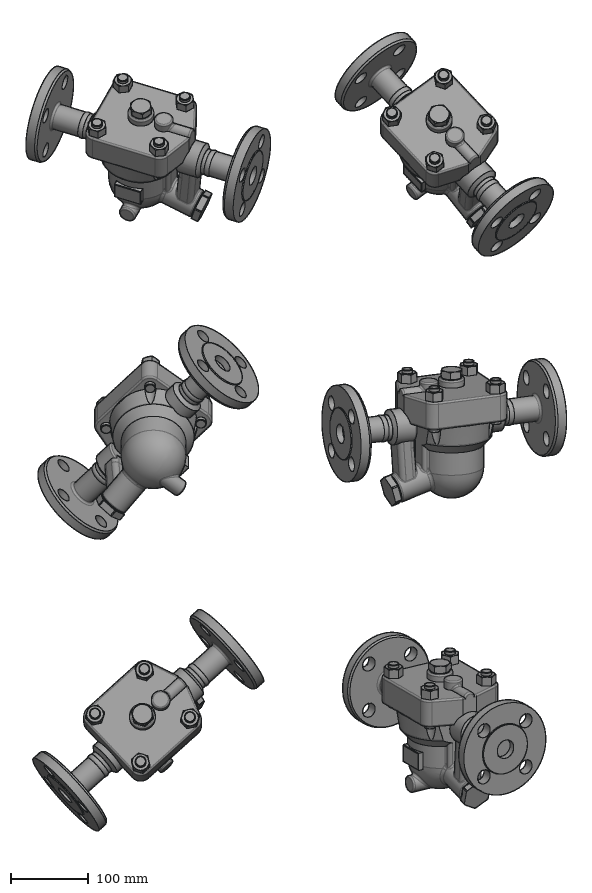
import cadquery as cq
import math


surface_tolerance = 0.003

face_to_face = 291.0
mid_x = 10.2
flange_diameter = 125.0
flange_thickness = 15.0
flange_chamfer_length = 3.0
flange_chamfer_depth = 1.7
raised_face_diameter = 67.0
raised_face_base_diameter = 68.5
raised_face_height = 1.5
bore_diameter = 25.0
bore_depth = 8.7
bolt_hole_diameter = 19.0
bolt_circle_diameter = 90.2
bolt_hole_count = 4
pipe_diameter = 33.2
pipe_root_radius = 3.0
bead_length = 6.7
bead_height = 1.0
bead_gap = 5.0
hub_diameter = 46.0
hub_cone_length = 4.0
hub_cone_diameter = 34.3
hub_shoulder = 75.5
outlet_hub_start = 57.5
outlet_hub_rounding = 2.0
inlet_hub_start = -29.0

plate_top = 44.2
plate_bottom = 7.3
joint_z = 26.8
plate_left = -57.3
plate_half_width = 57.5
plate_shoulder = 53.5
plate_tip = 71.0
plate_tip_half_width = 10.2
plate_corner_radius = 14.3
plate_edge_rounding = 2.3

stud_offset = 43.0
stud_places = [(x, y) for x in (-stud_offset, stud_offset) for y in (-stud_offset, stud_offset)]
stud_diameter = 14.0
stud_bottom = 1.5
stud_top = 61.0
stud_chamfer = 1.0
nut_across_flats = 21.5
nut_height = 12.2
hex_chamfer_angle = 30.0
stud_clearance_diameter = 17.8

boss_x = 31.7
boss_diameter = 24.0
boss_top = 56.2
boss_rounding = 2.0
duct_radius = 8.5
duct_axis_z = 41.3
duct_root_radius = 2.3

plug_diameter = 33.2
plug_bottom = 46.9
plug_collar_height = 9.3
plug_rounding = 2.0
plug_hex_across_flats = 25.3
plug_hex_height = 10.2
plug_neck_height = 1.0

vessel_radius = 41.5
dome_center_z = -62.3
rim_radius = 56.5
belt_radius = 52.0
belt_top = -19.0
belt_bottom = -20.5
cone_bottom = -32.3
vessel_flat_x = 46.0
rib_half_width = 15.0
rib_corner_radius = 4.7
rib_root_radius = 3.0

branch_angle = 15.0
branch_diameter = 38.0
branch_length = 81.2
branch_rounding = 1.7
branch_root_radius = 5.2
cap_neck_diameter = 34.3
cap_neck_length = 1.5
cap_hex_across_flats = 36.5
cap_hex_corner_diameter = 41.0
cap_hex_thickness = 9.3

riser_half_width = 16.0
riser_corner_radius = 6.7
riser_root_radius = 1.7
riser_top_z = -11.5
riser_left = 57.0
riser_right = 81.2
riser_bend_z = -26.2
riser_bottom_z = -75.7
riser_bottom_left = 53.0
riser_bottom_right = 76.8

pad_width = 36.5
pad_height = 23.5
pad_center_z = -54.5
pad_face_y = -44.8
pad_chamfer = 1.0
drain_diameter = 22.0
drain_z = -90.8
drain_face_y = -46.5
drain_rounding = 2.0
drain_root_radius = 3.0


def vertical_cylinder(diameter, z_bottom, z_top, x=0.0, y=0.0):
    return cq.Workplane("XY", origin=(x, y, z_bottom)).circle(diameter / 2).extrude(z_top - z_bottom)


def union_with_root(base, addition, root_radius, is_root=lambda edge: True):
    """Union of two shapes with a fillet along the edges where their surfaces meet."""
    joined = base.union(addition)
    skins = [shape.val().Shells()[0] for shape in (base, addition)]
    roots = []
    for edge in joined.edges().vals():
        middle = cq.Vertex.makeVertex(*edge.positionAt(0.5).toTuple())
        on_both = all(skin.distance(middle) < surface_tolerance for skin in skins)
        if on_both and is_root(edge):
            roots.append(edge)
    return joined.newObject(roots).fillet(root_radius)


def chamfered_hexagon(across_flats, height, both_ends):
    """Hexagon on Z = 0, corners on X, with its corners turned off by flat cones."""
    corner_radius = across_flats / math.sqrt(3)
    flat_radius = across_flats / 2
    drop = (corner_radius - flat_radius) * math.tan(math.radians(hex_chamfer_angle))
    turned = cq.Workplane("XZ").moveTo(0, 0)
    if both_ends:
        turned = turned.lineTo(flat_radius, 0).lineTo(corner_radius, drop)
    else:
        turned = turned.lineTo(corner_radius, 0)
    turned = turned.lineTo(corner_radius, height - drop).lineTo(flat_radius, height).lineTo(0, height)
    turned = turned.close().revolve(360, (0, 0, 0), (0, 1, 0))
    return cq.Workplane("XY").polygon(6, 2 * corner_radius).extrude(height).intersect(turned)


def pipe_end(hub_start):
    """Flanged pipe end along +X from the middle plane; hub_start is measured from that plane."""
    face = face_to_face / 2
    rim_front = face - raised_face_height
    rim_back = rim_front - flange_thickness
    flange_radius = flange_diameter / 2
    pipe_radius = pipe_diameter / 2
    hub_radius = hub_diameter / 2
    cone_end = hub_shoulder + hub_cone_length
    bead_start = cone_end + bead_gap
    bead_end = bead_start + bead_length
    root_start = (rim_back - pipe_root_radius, pipe_radius)
    root_inset = pipe_root_radius * (1 - math.sqrt(0.5))
    root_middle = (rim_back - root_inset, pipe_radius + root_inset)
    root_end = (rim_back, pipe_radius + pipe_root_radius)
    bead_crest = ((bead_start + bead_end) / 2, pipe_radius + bead_height)
    profile = (
        cq.Workplane("XY")
        .moveTo(hub_start, 0)
        .lineTo(hub_start, hub_radius)
        .lineTo(hub_shoulder, hub_radius)
        .lineTo(cone_end, hub_cone_diameter / 2)
        .lineTo(cone_end, pipe_radius)
        .lineTo(bead_start, pipe_radius)
        .threePointArc(bead_crest, (bead_end, pipe_radius))
        .lineTo(*root_start)
        .threePointArc(root_middle, root_end)
        .lineTo(rim_back, flange_radius - flange_chamfer_depth)
        .lineTo(rim_back + flange_chamfer_length, flange_radius)
        .lineTo(rim_front, flange_radius)
        .lineTo(rim_front, raised_face_base_diameter / 2)
        .lineTo(face, raised_face_diameter / 2)
        .lineTo(face, 0)
        .close()
    )
    end = profile.revolve(360, (0, 0, 0), (1, 0, 0))
    bore = cq.Workplane("YZ", origin=(face - bore_depth, 0, 0)).circle(bore_diameter / 2).extrude(bore_depth)
    bolt_holes = (
        cq.Workplane("YZ", origin=(rim_back, 0, 0))
        .polarArray(bolt_circle_diameter / 2, 180 / bolt_hole_count, 360, bolt_hole_count)
        .circle(bolt_hole_diameter / 2)
        .extrude(flange_thickness)
    )
    return end.cut(bore).cut(bolt_holes)


def make_outlet():
    outlet = pipe_end(outlet_hub_start - mid_x).translate((mid_x, 0, 0))
    return outlet.faces("<X").edges().fillet(outlet_hub_rounding)


def make_inlet():
    return pipe_end(mid_x - inlet_hub_start).mirror("YZ").translate((mid_x, 0, 0))


def plate_layer(z_bottom, z_top):
    outline = [
        (plate_left, -plate_half_width),
        (plate_shoulder, -plate_half_width),
        (plate_tip, -plate_tip_half_width),
        (plate_tip, plate_tip_half_width),
        (plate_shoulder, plate_half_width),
        (plate_left, plate_half_width),
    ]
    layer = cq.Workplane("XY", origin=(0, 0, z_bottom)).polyline(outline).close().extrude(z_top - z_bottom)
    return layer.edges("|Z and (not >X)").fillet(plate_corner_radius)


def make_cover():
    cover = plate_layer(joint_z, plate_top).faces(">Z").edges().fillet(plate_edge_rounding)
    duct = cq.Workplane("YZ", origin=(boss_x, 0, duct_axis_z)).circle(duct_radius).extrude(plate_tip - boss_x)
    duct = duct.faces(">X").edges().fillet(plate_edge_rounding)
    boss = vertical_cylinder(boss_diameter, joint_z, boss_top, boss_x)
    boss = boss.faces(">Z").edges().fillet(boss_rounding)
    return cover.union(union_with_root(boss, duct, duct_root_radius))


def make_rim():
    return plate_layer(plate_bottom, joint_z).faces("<Z").edges().fillet(plate_edge_rounding)


def make_fastener(x, y, turn):
    stud = vertical_cylinder(stud_diameter, stud_bottom, stud_top).faces("<Z or >Z").chamfer(stud_chamfer)
    nut = chamfered_hexagon(nut_across_flats, nut_height, both_ends=False)
    nut = nut.rotate((0, 0, 0), (0, 0, 1), turn).translate((0, 0, plate_top))
    return stud.union(nut).translate((x, y, 0))


def along_branch(shape):
    """Place a shape built along +Z from the origin on the slanted branch axis."""
    return shape.rotate((0, 0, 0), (0, 1, 0), 90 + branch_angle).translate((0, 0, dome_center_z))


def make_shell():
    """Cone, cylinder and dome, cleared around the studs and cut flat towards the outlet hub."""
    dome_middle = vessel_radius * math.sqrt(0.5)
    shell = (
        cq.Workplane("XZ")
        .moveTo(0, joint_z)
        .lineTo(vessel_radius, joint_z)
        .lineTo(vessel_radius, plate_bottom)
        .lineTo(rim_radius, plate_bottom)
        .lineTo(belt_radius, belt_top)
        .lineTo(belt_radius, belt_bottom)
        .lineTo(vessel_radius, cone_bottom)
        .lineTo(vessel_radius, dome_center_z)
        .threePointArc((dome_middle, dome_center_z - dome_middle), (0, dome_center_z - vessel_radius))
        .close()
        .revolve(360, (0, 0, 0), (0, 1, 0))
        .rotate((0, 0, 0), (0, 0, 1), 180)
    )
    for x, y in stud_places:
        shell = shell.cut(vertical_cylinder(stud_clearance_diameter, belt_bottom, plate_bottom, x, y))
    side_depth = rim_radius - vessel_flat_x
    beyond_flat = (
        cq.Workplane("XY", origin=(vessel_flat_x, 0, cone_bottom))
        .rect(2 * side_depth, 2 * rim_radius)
        .extrude(plate_bottom - cone_bottom)
        .translate((side_depth, 0, 0))
    )
    return shell.cut(beyond_flat)


def make_rib():
    return (
        cq.Workplane("XY", origin=(vessel_flat_x / 2, 0, dome_center_z))
        .rect(vessel_flat_x, 2 * rib_half_width)
        .extrude(belt_bottom - dome_center_z)
        .edges("|Z and >X")
        .fillet(rib_corner_radius)
    )


def make_branch():
    branch = cq.Workplane("XY").circle(branch_diameter / 2).extrude(branch_length)
    return along_branch(branch.faces(">Z").edges().fillet(branch_rounding))


def make_riser():
    outline = [
        (riser_left, riser_top_z),
        (riser_left, riser_bend_z),
        (riser_bottom_left, riser_bottom_z),
        (riser_bottom_right, riser_bottom_z),
        (riser_right, riser_top_z),
    ]
    riser = cq.Workplane("XZ").polyline(outline).close().extrude(riser_half_width, both=True)
    return riser.edges("(not |Y) and (not |X)").fillet(riser_corner_radius)


def make_drain():
    drain = cq.Workplane("XZ", origin=(0, 0, drain_z)).circle(drain_diameter / 2).extrude(-drain_face_y)
    return drain.faces("<Y").edges().fillet(drain_rounding)


def is_rib_foot(edge):
    """True for the edges where the outer end of the rib stands on the branch."""
    return edge.Center().x > vessel_radius and edge.BoundingBox().zmax < cone_bottom


def make_vessel():
    vessel = union_with_root(make_shell(), make_branch(), branch_root_radius)
    vessel = union_with_root(vessel, make_rib(), rib_root_radius, is_rib_foot)
    vessel = union_with_root(vessel, make_drain(), drain_root_radius)
    return union_with_root(vessel, make_riser(), riser_root_radius)


def make_cap():
    neck = vertical_cylinder(cap_neck_diameter, branch_length, branch_length + cap_neck_length)
    hexagon = (
        cq.Workplane("XY")
        .polygon(6, 2 * cap_hex_across_flats / math.sqrt(3))
        .extrude(cap_hex_thickness)
        .intersect(vertical_cylinder(cap_hex_corner_diameter, 0, cap_hex_thickness))
        .translate((0, 0, branch_length + cap_neck_length))
    )
    return along_branch(neck.union(hexagon))


def make_pad():
    pad = (
        cq.Workplane("XZ", origin=(0, 0, pad_center_z))
        .rect(pad_width, pad_height)
        .extrude(-pad_face_y)
    )
    return pad.faces("<Y").chamfer(pad_chamfer)


def make_trap():
    trap = make_vessel().union(make_rim()).union(make_cover())
    for feature in (make_inlet(), make_outlet(), make_cap(), make_pad()):
        trap = trap.union(feature)
    for x, y in stud_places:
        turn = 0 if x * y > 0 else 90
        trap = trap.union(make_fastener(x, y, turn))
    return trap


def make_plug():
    collar_top = plug_bottom + plug_collar_height
    collar = vertical_cylinder(plug_diameter, plug_bottom, collar_top)
    collar = collar.faces(">Z").edges().fillet(plug_rounding)
    hexagon = chamfered_hexagon(plug_hex_across_flats, plug_hex_height, both_ends=True)
    neck_top = collar_top + plug_neck_height
    neck = vertical_cylinder(plug_hex_across_flats, collar_top, neck_top)
    return collar.union(neck).union(hexagon.translate((0, 0, neck_top)))


trap = make_trap()
plug = make_plug()
result = cq.Compound.makeCompound([trap.val(), plug.val()])